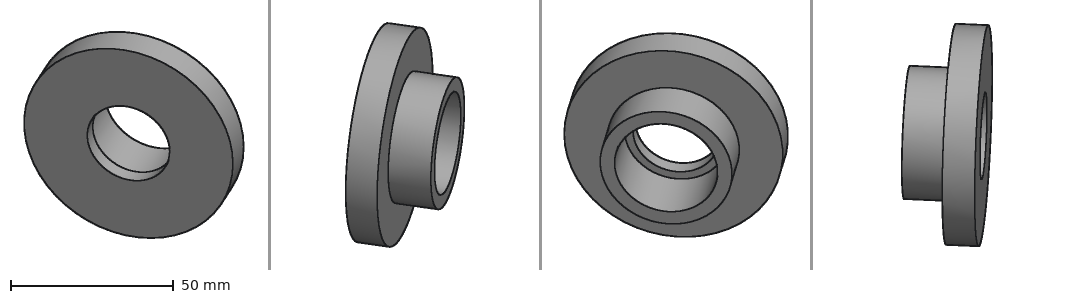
import cadquery as cq

flange_diameter = 68.0
flange_thickness = 10.0
hub_diameter = 41.0
total_length = 23.5

bore_diameter = 26.8
bore_depth = 5.0
counterbore_diameter = 32.0


def cylinder(diameter, start_y, end_y):
    """Solid cylinder about the Y axis between two Y positions."""
    return (
        cq.Workplane("XZ", origin=(0, start_y, 0))
        .circle(diameter / 2)
        .extrude(start_y - end_y)
    )


flange = cylinder(flange_diameter, 0, flange_thickness)
hub = cylinder(hub_diameter, 0, total_length)
bore = cylinder(bore_diameter, 0, total_length)
counterbore = cylinder(counterbore_diameter, bore_depth, total_length)

result = flange.union(hub).cut(bore).cut(counterbore)